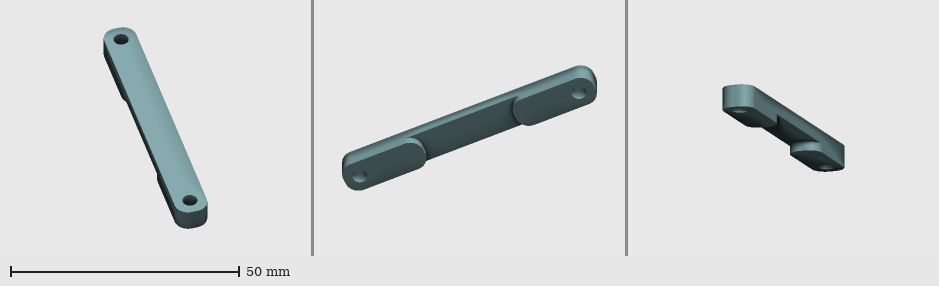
import cadquery as cq

length = 60.12
width = 7.3
height = 5.0
corner_radius = 3.0

gap_length = 22.0
foot_height = 2.0
web_thickness = height - foot_height
foot_length = (length - gap_length) / 2

hole_diameter = 3.3
hole_spacing = length - width


def rounded_block(block_length, block_height, center_x, bottom_z):
    """Block of the bar's width with rounded vertical edges."""
    return (
        cq.Workplane("XY")
        .box(block_length, width, block_height, centered=(True, True, False))
        .edges("|Z")
        .fillet(corner_radius)
        .translate((center_x, 0, bottom_z))
    )


def mounting_hole(center_x):
    """Cutter for one vertical through hole."""
    return cq.Workplane("XY").center(center_x, 0).circle(hole_diameter / 2).extrude(height)


result = rounded_block(length, web_thickness, 0, foot_height)

for side in (-1, 1):
    foot_center_x = side * (length - foot_length) / 2
    result = result.union(rounded_block(foot_length, height, foot_center_x, 0))

result = result.clean()

for side in (-1, 1):
    result = result.cut(mounting_hole(side * hole_spacing / 2))